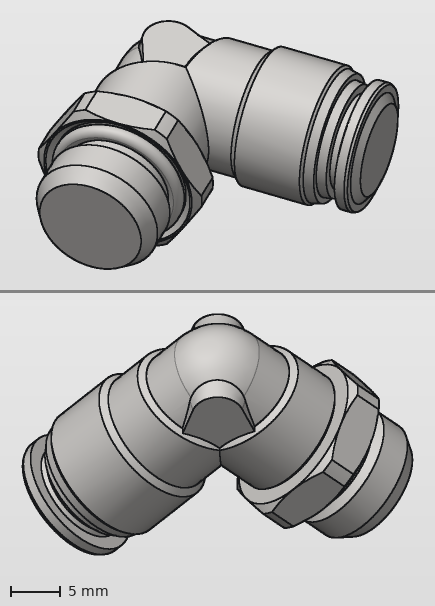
import cadquery as cq
import math

ELBOW_RADIUS = 6.0
LEG_RADIUS = 6.63
SHOULDER_TILT = 15.0
SHOULDER_OFFSET = 2.5
SHOULDER_CHAMFER_AXIAL = 0.47
SHOULDER_CHAMFER_RADIAL = LEG_RADIUS - ELBOW_RADIUS

PAD_HEIGHT = 6.05
PAD_BASE = 3.5
DIAGONAL_ANGLE = -45.0
PAD_NOSE_RADIUS = 2.62
PAD_NOSE_DISTANCE = 1.24
PAD_FLARE = 20.0
PAD_END_DISTANCE = 3.4
PAD_DRAFT = 15.0

SOCKET_START = 9.05
SOCKET_RADIUS = 7.28
SOCKET_CHAMFER = SOCKET_RADIUS - LEG_RADIUS
SOCKET_STRAIGHT_END = 16.75
CAP_START = 17.04
CAP_START_RADIUS = 7.0
CAP_END = 18.08
CAP_END_RADIUS = 6.76
INSERT_START_RADIUS = 6.11
INSERT_END = 19.1
INSERT_END_RADIUS = 5.95

RING_NECK_RADIUS = 5.0
RING_NECK_END = 19.87
FLANGE_START = 20.33
FLANGE_ROOT_RADIUS = 5.32
FLANGE_RADIUS = 6.77
FLANGE_END = 21.68
FLANGE_CHAMFER_AXIAL = 0.3
FLANGE_CHAMFER_RADIAL = 0.15
RING_FACE_RADIUS = 4.85
RING_CONE_RADIUS = 5.8
RING_FACE = 22.35

LEG_END = 10.0
LEG_END_CHAMFER = 0.25
SWIVEL_NECK_RADIUS = 5.3
HEX_START = 10.25
HEX_END = 14.28
HEX_SIDES = 6
HEX_FLATS = 16.05
HEX_CORNER_RADIUS = 8.86
HEX_FACE_RADIUS = HEX_FLATS / 2
HEX_CHAMFER_AXIAL = 0.55
STEM_NECK_RADIUS = 5.5
SEAL_RADIUS = 7.1
SEAL_END = 15.0
SEAL_SECTION_RADIUS = (SEAL_RADIUS - STEM_NECK_RADIUS) / 2
SEAT_MOUTH_RADIUS = 7.83
SEAT_FLOOR_RADIUS = 7.08
SEAT_FLOOR = HEX_END - (SEAT_MOUTH_RADIUS - SEAT_FLOOR_RADIUS)
THREAD_START = 15.85
THREAD_CHAMFER = 0.65
THREAD_RADIUS = 6.57
THREAD_STRAIGHT_END = 19.7
STEM_END = 21.4
STEM_END_RADIUS = 5.5


def mirror_across_corner(shape):
    """Swap the +X leg and the -Y leg: mirror in the plane x = -y."""
    return shape.mirror(cq.Vector(1, 1, 0), cq.Vector(0, 0, 0))


def revolve_on_x(points):
    """Solid of revolution about X; points are (station, radius) from axis to axis."""
    return cq.Workplane("XY").polyline(points).close().revolve(360, (0, 0), (1, 0)).val()


def make_leg(length):
    """Plain cylinder along +X, cut by the leaning shoulder plane and chamfered there."""
    lean = LEG_RADIUS * math.tan(math.radians(SHOULDER_TILT))
    slab_outline = [
        (SHOULDER_OFFSET - lean, -LEG_RADIUS),
        (length, -LEG_RADIUS),
        (length, LEG_RADIUS),
        (SHOULDER_OFFSET + lean, LEG_RADIUS),
    ]
    slab = cq.Workplane("XY").polyline(slab_outline).close().extrude(LEG_RADIUS, both=True)
    start = SHOULDER_OFFSET - lean
    rod = cq.Workplane("YZ").workplane(offset=start).circle(LEG_RADIUS).extrude(length - start)
    leg = rod.intersect(slab)
    shoulder_edge = leg.faces("<X").edges()
    return shoulder_edge.chamfer(SHOULDER_CHAMFER_AXIAL, SHOULDER_CHAMFER_RADIAL).val()


def make_elbow():
    """Ball corner and two thinner arms that run into the legs."""
    ball = cq.Workplane("XY").sphere(ELBOW_RADIUS).val()
    arm = cq.Workplane("YZ").circle(ELBOW_RADIUS).extrude(SOCKET_START).val()
    return ball.fuse(arm, mirror_across_corner(arm))


def make_pad():
    """Rounded, flaring pad on the +Z face, drawn with the diagonal along local X."""
    flare = math.radians(PAD_FLARE)
    tangent_x = -PAD_NOSE_DISTANCE - PAD_NOSE_RADIUS * math.sin(flare)
    tangent_y = PAD_NOSE_RADIUS * math.cos(flare)
    end_y = tangent_y + (PAD_END_DISTANCE - tangent_x) * math.tan(flare)
    pad = (
        cq.Workplane("XY")
        .workplane(offset=PAD_HEIGHT)
        .moveTo(PAD_END_DISTANCE, -end_y)
        .lineTo(tangent_x, -tangent_y)
        .threePointArc((-PAD_NOSE_DISTANCE - PAD_NOSE_RADIUS, 0), (tangent_x, tangent_y))
        .lineTo(PAD_END_DISTANCE, end_y)
        .close()
        .extrude(PAD_BASE - PAD_HEIGHT, taper=-PAD_DRAFT)
    )
    return pad.rotate((0, 0, 0), (0, 0, 1), DIAGONAL_ANGLE).val()


def make_socket():
    """Tube socket with its stepped cap and the release ring."""
    flange_rim_radius = FLANGE_RADIUS - FLANGE_CHAMFER_RADIAL
    return revolve_on_x([
        (SOCKET_START, 0),
        (SOCKET_START, SOCKET_RADIUS - SOCKET_CHAMFER),
        (SOCKET_START + SOCKET_CHAMFER, SOCKET_RADIUS),
        (SOCKET_STRAIGHT_END, SOCKET_RADIUS),
        (CAP_START, CAP_START_RADIUS),
        (CAP_END, CAP_END_RADIUS),
        (CAP_END, INSERT_START_RADIUS),
        (INSERT_END, INSERT_END_RADIUS),
        (INSERT_END, RING_NECK_RADIUS),
        (RING_NECK_END, RING_NECK_RADIUS),
        (FLANGE_START, FLANGE_ROOT_RADIUS),
        (FLANGE_START, FLANGE_RADIUS),
        (FLANGE_END - FLANGE_CHAMFER_AXIAL, FLANGE_RADIUS),
        (FLANGE_END, flange_rim_radius),
        (FLANGE_END, RING_CONE_RADIUS),
        (RING_FACE, RING_FACE_RADIUS),
        (RING_FACE, 0),
    ])


def make_hex():
    """Hexagon with flats facing +Z and -Z, trimmed at its corners and end edges."""
    hexagon = (
        cq.Workplane("XZ")
        .workplane(offset=HEX_START)
        .polygon(HEX_SIDES, HEX_FLATS / math.cos(math.pi / HEX_SIDES))
        .extrude(HEX_END - HEX_START)
        .val()
    )
    envelope = revolve_on_x([
        (HEX_START, 0),
        (HEX_START, HEX_FACE_RADIUS),
        (HEX_START + HEX_CHAMFER_AXIAL, HEX_CORNER_RADIUS),
        (HEX_END - HEX_CHAMFER_AXIAL, HEX_CORNER_RADIUS),
        (HEX_END, HEX_FACE_RADIUS),
        (HEX_END, 0),
    ])
    seat = revolve_on_x([
        (SEAT_FLOOR, 0),
        (SEAT_FLOOR, SEAT_FLOOR_RADIUS),
        (HEX_END, SEAT_MOUTH_RADIUS),
        (HEX_END, 0),
    ])
    return hexagon.intersect(mirror_across_corner(envelope)).cut(mirror_across_corner(seat))


def make_seal():
    """O-ring lying in the conical seat, against the stem neck."""
    ring_radius = SEAL_RADIUS - SEAL_SECTION_RADIUS
    seal = (
        cq.Workplane("XY")
        .center(SEAL_END - SEAL_SECTION_RADIUS, ring_radius)
        .circle(SEAL_SECTION_RADIUS)
        .revolve(360, (0, -ring_radius), (1, -ring_radius))
        .val()
    )
    return mirror_across_corner(seal)


def make_stem():
    """Swivel neck through the hexagon, undercut and thread body."""
    stem = revolve_on_x([
        (LEG_END, 0),
        (LEG_END, SWIVEL_NECK_RADIUS),
        (HEX_START, SWIVEL_NECK_RADIUS),
        (HEX_START, STEM_NECK_RADIUS),
        (THREAD_START, STEM_NECK_RADIUS),
        (THREAD_START + THREAD_CHAMFER, THREAD_RADIUS),
        (THREAD_STRAIGHT_END, THREAD_RADIUS),
        (STEM_END, STEM_END_RADIUS),
        (STEM_END, 0),
    ])
    return mirror_across_corner(stem)


socket_leg = make_leg(SOCKET_START)
stem_leg = cq.Workplane(make_leg(LEG_END)).faces(">X").edges().chamfer(LEG_END_CHAMFER).val()
pad = make_pad()

result = cq.Workplane(make_elbow())
for piece in (
    socket_leg,
    mirror_across_corner(stem_leg),
    pad,
    pad.mirror("XY"),
    make_socket(),
    make_hex(),
    make_seal(),
    make_stem(),
):
    result = result.union(cq.Workplane(piece))